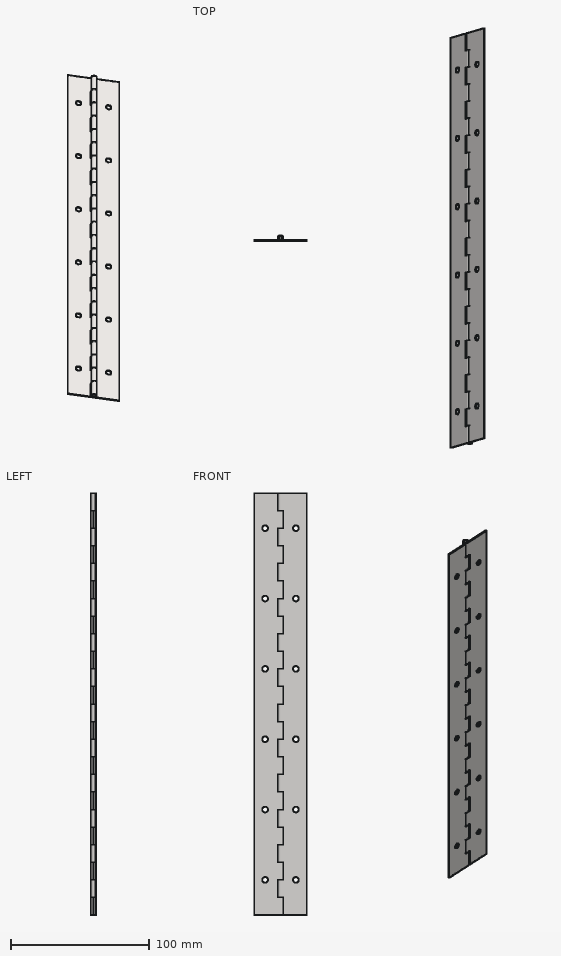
import cadquery as cq
import math

LENGTH = 304.8
WIDTH = 38.0
BARREL_DIAMETER = 4.3
PIN_DIAMETER = 2.38
KNUCKLE_COUNT = 24
HOLE_COUNT = 6
HOLE_DIAMETER = 4.0
HOLE_EDGE_DISTANCE = 8.0

BARREL_RADIUS = BARREL_DIAMETER / 2
PIN_RADIUS = PIN_DIAMETER / 2
LEAF_THICKNESS = BARREL_RADIUS - PIN_RADIUS
LEAF_WIDTH = WIDTH / 2
FLAT_WIDTH = LEAF_WIDTH - BARREL_RADIUS
KNUCKLE_LENGTH = LENGTH / KNUCKLE_COUNT
HOLE_PITCH = LENGTH / HOLE_COUNT
HOLE_OFFSET = LEAF_WIDTH - HOLE_EDGE_DISTANCE
DIAGONAL = math.sqrt(0.5)

LEFT = -1
RIGHT = 1


def leaf_plate(side):
    """Flat strip from the side of the barrel to the leaf edge, flush with the -Y side of the barrel."""
    center_x = side * (BARREL_RADIUS + FLAT_WIDTH / 2)
    plate = cq.Workplane("XY", origin=(center_x, -BARREL_RADIUS, 0))
    return plate.box(FLAT_WIDTH, LEAF_THICKNESS, LENGTH, centered=(True, False, False))


def knuckle(side, index):
    """Leaf sheet rolled three quarters of a turn round the pin, open between its end and the leaf."""
    outer = BARREL_RADIUS
    inner = PIN_RADIUS
    return (
        cq.Workplane("XY", origin=(0, 0, index * KNUCKLE_LENGTH))
        .moveTo(side * outer, -outer)
        .lineTo(0, -outer)
        .threePointArc((-side * outer * DIAGONAL, outer * DIAGONAL), (side * outer, 0))
        .lineTo(side * inner, 0)
        .threePointArc((-side * inner * DIAGONAL, inner * DIAGONAL), (0, -inner))
        .lineTo(side * outer, -inner)
        .close()
        .extrude(KNUCKLE_LENGTH)
    )


def screw_holes(side):
    """Column of evenly spaced round holes through one leaf."""
    centers = [(side * HOLE_OFFSET, (i + 0.5) * HOLE_PITCH) for i in range(HOLE_COUNT)]
    return cq.Workplane("XZ").pushPoints(centers).circle(HOLE_DIAMETER / 2).extrude(BARREL_RADIUS)


def leaf(side, first_knuckle):
    """One leaf carrying every second knuckle, counted from first_knuckle upwards."""
    body = leaf_plate(side)
    for index in range(first_knuckle, KNUCKLE_COUNT, 2):
        body = body.union(knuckle(side, index))
    return body.cut(screw_holes(side))


def hinge_pin():
    """Straight pin running the full length of the barrel."""
    return cq.Workplane("XY").circle(PIN_RADIUS).extrude(LENGTH)


left_leaf = leaf(LEFT, 0)
right_leaf = leaf(RIGHT, 1)
pin = hinge_pin()

result = cq.Compound.makeCompound([left_leaf.solids().val(), right_leaf.solids().val(), pin.val()])